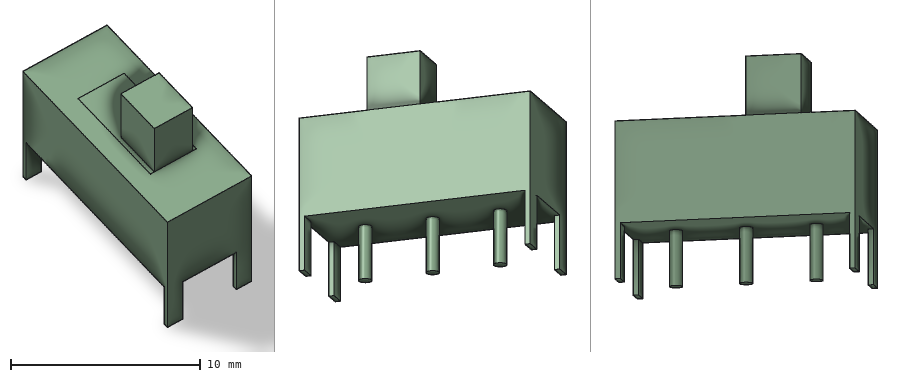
import cadquery as cq

housing_length = 13.0
housing_width = 5.5
housing_height = 5.5

standoff_height = 3.0
leg_thickness = 0.3
leg_width = 1.0
pin_diameter = 0.7
pin_spacing = 3.8
pin_count = 3

plate_length = 6.5
plate_width = 3.0
plate_thickness = 1.0
knob_length = 3.0
knob_width = 2.5
knob_height = 3.5
knob_center_x = (plate_length - knob_length) / 2


def block_on(base_z, length, width, height):
    """Block centred on the Z axis and standing on the plane Z = base_z."""
    return cq.Workplane("XY", origin=(0, 0, base_z)).box(
        length, width, height, centered=(True, True, False)
    )


def slider_plate():
    """Base plate of the slider, also the shape of its recess in the housing."""
    return block_on(housing_height - plate_thickness, plate_length, plate_width, plate_thickness)


def corner_legs():
    """Four flat legs, flush with the corners of the housing."""
    return (
        cq.Workplane("XY")
        .rarray(housing_length - leg_thickness, housing_width - leg_width, 2, 2)
        .rect(leg_thickness, leg_width)
        .extrude(-standoff_height)
    )


def terminal_pins():
    """A row of round pins along the middle of the underside."""
    return (
        cq.Workplane("XY")
        .rarray(pin_spacing, 0.13, pin_count, 1)
        .circle(pin_diameter / 2)
        .extrude(-standoff_height)
    )


def make_housing():
    """Block with its legs and pins, recessed on top for the slider plate."""
    block = block_on(0, housing_length, housing_width, housing_height)
    return block.union(corner_legs()).union(terminal_pins()).cut(slider_plate())


def make_slider():
    """Plate and knob in one piece."""
    knob = block_on(housing_height, knob_length, knob_width, knob_height)
    return slider_plate().union(knob.translate((knob_center_x, 0, 0)))


housing = make_housing()
slider = make_slider()

result = cq.Compound.makeCompound([housing.val(), slider.val()])